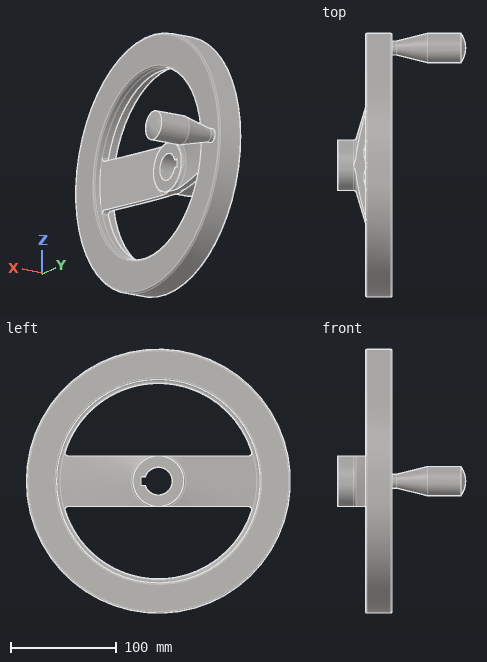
import cadquery as cq
import math


RIM_RADIUS = 250 / 2
RIM_WIDTH = 25
RIM_FRONT = 26.4
RIM_REAR = RIM_FRONT + RIM_WIDTH
RIM_EDGE_FILLET = 1.5
FRONT_RECESS_RADIUS = 192.62 / 2
REAR_RECESS_RADIUS = 185 / 2

HUB_RADIUS = 48 / 2
HUB_REAR = 28.5
BORE_RADIUS = 26 / 2
KEYWAY_WIDTH = 8
KEYWAY_DEPTH = 3.3

WEB_FRONT_AT_HUB = 17.0
WEB_SLOPE = 0.3
WEB_AXIAL_THICKNESS = 7
WEB_FILLET = 2.5

WINDOW_RADIUS = REAR_RECESS_RADIUS
SPOKE_HALF_WIDTH = HUB_RADIUS
WINDOW_CORNER_RADIUS = 3

OVERALL_LENGTH = 121.24
HANDLE_RADIUS = 28 / 2
HANDLE_OFFSET = RIM_RADIUS - HANDLE_RADIUS
NECK_RADIUS = 13.44 / 2
NECK_LENGTH = 4.4
TAPER_LENGTH = 29.3
DOME_HEIGHT = 4.7


def web_front(radius):
    """X position of the front cone of the web at a given radius."""
    return WEB_FRONT_AT_HUB + WEB_SLOPE * (radius - HUB_RADIUS)


def web_rear(radius):
    """X position of the rear cone of the web at a given radius."""
    return web_front(radius) + WEB_AXIAL_THICKNESS


def fillet_circle(body, x, radius, size):
    """Round the circular edge of the given radius that lies in the plane at x."""
    def matches(edge):
        if edge.geomType() != "CIRCLE":
            return False
        return abs(edge.radius() - radius) < 0.01 and abs(edge.Center().x - x) < 0.01

    edges = [edge for edge in body.edges().vals() if matches(edge)]
    return body.newObject(edges).fillet(size)


def make_wheel():
    """Rim, dished web and hub as one turned body."""
    outline = [
        (0, 0),
        (0, HUB_RADIUS),
        (web_front(HUB_RADIUS), HUB_RADIUS),
        (web_front(FRONT_RECESS_RADIUS), FRONT_RECESS_RADIUS),
        (RIM_FRONT, FRONT_RECESS_RADIUS),
        (RIM_FRONT, RIM_RADIUS),
        (RIM_REAR, RIM_RADIUS),
        (RIM_REAR, REAR_RECESS_RADIUS),
        (web_rear(REAR_RECESS_RADIUS), REAR_RECESS_RADIUS),
        (web_rear(HUB_RADIUS), HUB_RADIUS),
        (HUB_REAR, HUB_RADIUS),
        (HUB_REAR, 0),
    ]
    wheel = cq.Workplane("XY").polyline(outline).close().revolve(360, (0, 0, 0), (1, 0, 0))

    for x in (RIM_FRONT, RIM_REAR):
        wheel = fillet_circle(wheel, x, RIM_RADIUS, RIM_EDGE_FILLET)
    wheel = fillet_circle(wheel, RIM_FRONT, FRONT_RECESS_RADIUS, RIM_EDGE_FILLET)
    wheel = fillet_circle(wheel, RIM_REAR, REAR_RECESS_RADIUS, RIM_EDGE_FILLET)

    wheel = fillet_circle(wheel, web_front(HUB_RADIUS), HUB_RADIUS, WEB_FILLET)
    wheel = fillet_circle(wheel, web_front(FRONT_RECESS_RADIUS), FRONT_RECESS_RADIUS, WEB_FILLET)
    wheel = fillet_circle(wheel, web_rear(HUB_RADIUS), HUB_RADIUS, WEB_FILLET)
    return wheel


def make_window(side):
    """Cutter for the window above (side = 1) or below (side = -1) the spoke."""
    half_chord = math.sqrt(WINDOW_RADIUS**2 - SPOKE_HALF_WIDTH**2)
    base = side * SPOKE_HALF_WIDTH
    return (
        cq.Workplane("YZ")
        .moveTo(-half_chord, base)
        .threePointArc((0, side * WINDOW_RADIUS), (half_chord, base))
        .close()
        .extrude(RIM_REAR)
        .edges("|X")
        .fillet(WINDOW_CORNER_RADIUS)
    )


def make_bore():
    """Cutter for the through bore with its keyway on the +Y side."""
    keyway_reach = BORE_RADIUS + KEYWAY_DEPTH
    bore = cq.Workplane("YZ").circle(BORE_RADIUS).extrude(HUB_REAR)
    keyway = (
        cq.Workplane("YZ")
        .center(keyway_reach / 2, 0)
        .rect(keyway_reach, KEYWAY_WIDTH)
        .extrude(HUB_REAR)
    )
    return bore.union(keyway)


def make_handle():
    """Turned handle with a neck, a taper, a cylindrical grip and a domed end."""
    taper_start = RIM_REAR + NECK_LENGTH
    grip_start = taper_start + TAPER_LENGTH
    grip_end = OVERALL_LENGTH - DOME_HEIGHT
    sphere_radius = (HANDLE_RADIUS**2 + DOME_HEIGHT**2) / (2 * DOME_HEIGHT)
    dome_mid_r = HANDLE_RADIUS / 2
    dome_mid_x = OVERALL_LENGTH - sphere_radius + math.sqrt(sphere_radius**2 - dome_mid_r**2)
    profile = (
        cq.Workplane("XY")
        .moveTo(RIM_REAR, 0)
        .lineTo(RIM_REAR, NECK_RADIUS)
        .lineTo(taper_start, NECK_RADIUS)
        .lineTo(grip_start, HANDLE_RADIUS)
        .lineTo(grip_end, HANDLE_RADIUS)
        .threePointArc((dome_mid_x, dome_mid_r), (OVERALL_LENGTH, 0))
        .close()
    )
    return profile.revolve(360, (0, 0, 0), (1, 0, 0)).translate((0, HANDLE_OFFSET, 0))


windows = make_window(1).union(make_window(-1))
result = make_wheel().cut(windows).cut(make_bore()).union(make_handle())